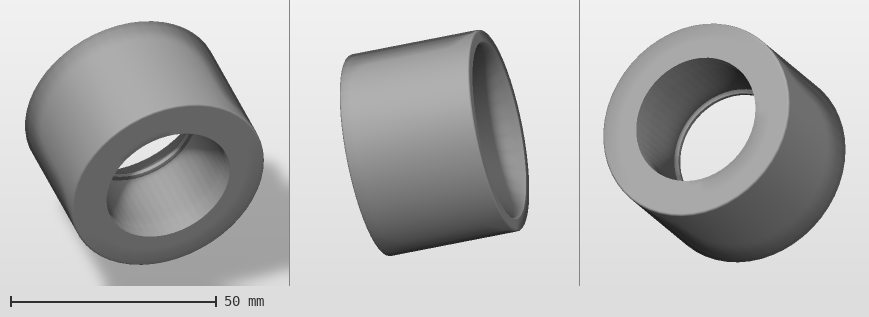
import cadquery as cq

length = 33.0
outer_diameter = 50.0
mouth_diameter = 44.0
throat_diameter = 29.75
bore_diameter = 32.0
cone_depth = 10.0
lip_width = 1.0
edge_radius = 0.5

outer_radius = outer_diameter / 2
mouth_radius = mouth_diameter / 2
throat_radius = throat_diameter / 2
bore_radius = bore_diameter / 2
lip_end = cone_depth + lip_width

section = (
    cq.Workplane("XY")
    .moveTo(0, mouth_radius)
    .lineTo(cone_depth, throat_radius)
    .lineTo(lip_end, throat_radius)
    .lineTo(lip_end, bore_radius)
    .lineTo(length, bore_radius)
    .lineTo(length, outer_radius - edge_radius)
    .tangentArcPoint((length - edge_radius, outer_radius), relative=False)
    .lineTo(edge_radius, outer_radius)
    .tangentArcPoint((0, outer_radius - edge_radius), relative=False)
    .close()
)

result = section.revolve(360, (0, 0, 0), (1, 0, 0))